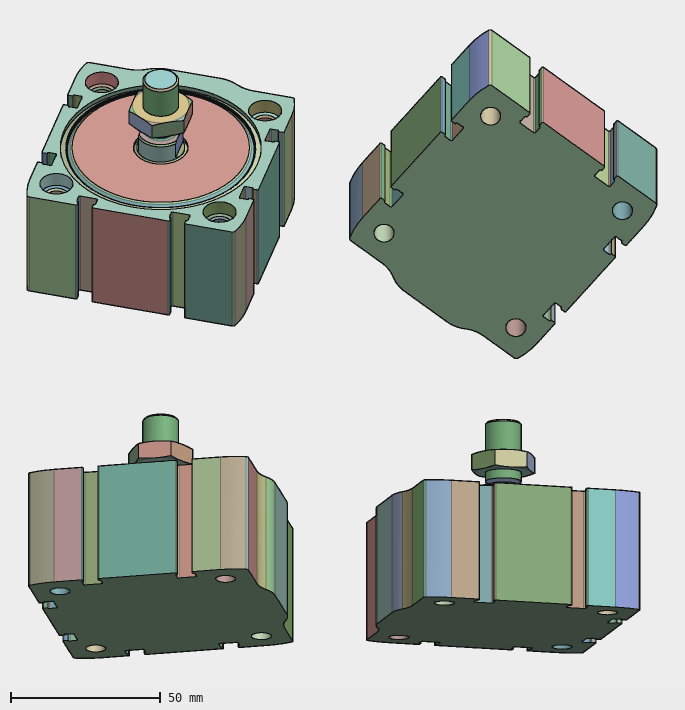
import cadquery as cq
import math

block_width = 75.0
block_height = 40.0
half_width = block_width / 2
bump_peak = 78.5 - half_width
bump_flat = 9.2
bump_radius = 12.0
side_flat = 28.4
side_radius = 25.0
corner_fillet = 1.0

slot_offset = 16.0
slot_depth = 5.0
slot_mouth = 5.2
slot_chamber = 6.5
slot_lip = 1.9
slot_fillet = 0.5
mouth_fillet = 0.4

mount_offset = 28.25
mount_diameter = 6.7
mount_countersink = 8.0
mount_counterbore = 11.0
counterbore_depth = 5.0

groove_radius = 67.0 / 2
groove_depth = 1.6
bore_radius = 63.0 / 2
ring_crest_radius = 31.7
ring_crest_depth = 0.55
ring_lip_depth = 0.8
cap_edge_radius = 29.6
cap_shoulder_radius = 30.2
cap_shoulder_depth = 0.4
cap_foot_radius = 31.2
cap_foot_depth = 1.2

rod_radius = 16.0 / 2
rod_socket_depth = 15.7
seal_radius = 18.1 / 2
seal_depth = 1.0
collar_top = 47.0
collar_chamfer = 0.55
flat_width = 12.95
flat_bottom = 40.6
run_out_angle = 30.0
neck_radius = 9.8 / 2
neck_fillet = 0.55
thread_radius = 12.0 / 2
thread_bottom = 48.9
rod_top = 69.0
tip_radius = 10.7 / 2

nut_width = 19.0
nut_bottom = 52.0
nut_height = 6.0
nut_chamfer_angle = 15.0


def block():
    """Extruded block with curved side ends and a raised back face."""
    end_rise = half_width - side_flat
    end_inset = side_radius - math.sqrt(side_radius**2 - end_rise**2)
    mid_angle = math.asin(end_rise / side_radius) / 2
    mid_x = half_width - side_radius * (1 - math.cos(mid_angle))
    mid_y = side_flat + side_radius * math.sin(mid_angle)
    corner_x = half_width - end_inset

    half_rise = (bump_peak - half_width) / 2
    half_run = math.sqrt(bump_radius**2 - (bump_radius - half_rise) ** 2)
    bend_x = bump_flat + half_run
    bend_y = half_width + half_rise
    foot_x = bump_flat + 2 * half_run

    outline = (
        cq.Workplane("XY")
        .moveTo(-corner_x, -half_width)
        .lineTo(corner_x, -half_width)
        .threePointArc((mid_x, -mid_y), (half_width, -side_flat))
        .lineTo(half_width, side_flat)
        .threePointArc((mid_x, mid_y), (corner_x, half_width))
        .lineTo(foot_x, half_width)
        .tangentArcPoint((bend_x, bend_y), relative=False)
        .tangentArcPoint((bump_flat, bump_peak), relative=False)
        .lineTo(-bump_flat, bump_peak)
        .tangentArcPoint((-bend_x, bend_y), relative=False)
        .tangentArcPoint((-foot_x, half_width), relative=False)
        .lineTo(-corner_x, half_width)
        .threePointArc((-mid_x, mid_y), (-half_width, side_flat))
        .lineTo(-half_width, -side_flat)
        .threePointArc((-mid_x, -mid_y), (-corner_x, -half_width))
        .close()
    )
    body = outline.extrude(block_height)
    for x in (-corner_x, corner_x):
        for y in (-half_width, half_width):
            corner = cq.selectors.NearestToPointSelector((x, y, block_height / 2))
            body = body.edges(corner).fillet(corner_fillet)
    return body


def t_slot(offset):
    """Cutter for one T-slot in the front (-Y) face, centred at X = offset."""
    face = -half_width
    mouth = (
        cq.Workplane("XY")
        .center(offset, face + slot_depth / 2)
        .rect(slot_mouth, slot_depth)
        .extrude(block_height)
    )
    chamber_depth = slot_depth - slot_lip
    chamber = (
        cq.Workplane("XY")
        .center(offset, face + slot_lip + chamber_depth / 2)
        .rect(slot_chamber, chamber_depth)
        .extrude(block_height)
        .edges("|Z")
        .fillet(slot_fillet)
    )
    half_mouth = slot_mouth / 2
    flare = half_mouth + mouth_fillet
    round_mid = mouth_fillet * (1 - math.sqrt(0.5))
    flared_edge = (
        cq.Workplane("XY")
        .moveTo(offset - flare, face)
        .threePointArc(
            (offset - half_mouth - round_mid, face + round_mid),
            (offset - half_mouth, face + mouth_fillet),
        )
        .lineTo(offset + half_mouth, face + mouth_fillet)
        .threePointArc(
            (offset + half_mouth + round_mid, face + round_mid),
            (offset + flare, face),
        )
        .close()
        .extrude(block_height)
    )
    return mouth.union(chamber).union(flared_edge)


def mounting_hole(x, y):
    """Cutter for a counterbored through hole with a countersunk floor."""
    floor = block_height - counterbore_depth
    hole_radius = mount_diameter / 2
    sink_radius = mount_countersink / 2
    bore = mount_counterbore / 2
    profile = [
        (0, 0),
        (hole_radius, 0),
        (hole_radius, floor - (sink_radius - hole_radius)),
        (sink_radius, floor),
        (bore, floor),
        (bore, block_height),
        (0, block_height),
    ]
    return revolve_profile(profile).translate((x, y, 0))


def revolve_profile(points):
    """Solid of revolution about Z from (radius, height) points."""
    return cq.Workplane("XZ").polyline(points).close().revolve(360, (0, 0), (0, 1))


def cap_groove():
    """Cutter for the stepped annular groove between the end cap and the block."""
    profile = [
        (cap_edge_radius, block_height),
        (cap_shoulder_radius, block_height - cap_shoulder_depth),
        (cap_foot_radius, block_height - cap_foot_depth),
        (bore_radius, block_height - cap_foot_depth),
        (bore_radius, block_height - ring_lip_depth),
        (ring_crest_radius, block_height - ring_crest_depth),
        (groove_radius, block_height - groove_depth),
        (groove_radius, block_height),
    ]
    return revolve_profile(profile)


def rod_socket():
    """Cutter for the blind rod hole and the sloping seal groove around it."""
    socket = (
        cq.Workplane("XY", origin=(0, 0, block_height - rod_socket_depth))
        .circle(rod_radius)
        .extrude(rod_socket_depth)
    )
    seal_groove = revolve_profile([
        (rod_radius, block_height),
        (seal_radius, block_height - seal_depth),
        (seal_radius, block_height),
    ])
    return socket.union(seal_groove)


def make_housing():
    body = block()
    for turn in (-90, 0, 90):
        for offset in (-slot_offset, slot_offset):
            body = body.cut(t_slot(offset).rotate((0, 0, 0), (0, 0, 1), turn))
    for x in (-mount_offset, mount_offset):
        for y in (-mount_offset, mount_offset):
            body = body.cut(mounting_hole(x, y))
    return body.cut(cap_groove()).cut(rod_socket())


def rod_shaft():
    """Turned rod: plain shank, undercut neck and threaded end."""
    bottom = block_height - rod_socket_depth
    fillet_mid = neck_fillet * (1 - math.sqrt(0.5))
    return (
        cq.Workplane("XZ")
        .moveTo(0, bottom)
        .lineTo(rod_radius, bottom)
        .lineTo(rod_radius, collar_top - collar_chamfer)
        .lineTo(rod_radius - collar_chamfer, collar_top)
        .lineTo(neck_radius + neck_fillet, collar_top)
        .threePointArc(
            (neck_radius + fillet_mid, collar_top + fillet_mid),
            (neck_radius, collar_top + neck_fillet),
        )
        .lineTo(neck_radius, thread_bottom - (thread_radius - neck_radius))
        .lineTo(thread_radius, thread_bottom)
        .lineTo(thread_radius, rod_top - (thread_radius - tip_radius))
        .lineTo(tip_radius, rod_top)
        .lineTo(0, rod_top)
        .close()
        .revolve(360, (0, 0), (0, 1))
    )


def wrench_flat(side):
    """Cutter for one wrench flat with a sloping run-out; side is -1 or 1."""
    flat = flat_width / 2
    run_out = (rod_radius - flat) * math.tan(math.radians(run_out_angle))
    return (
        cq.Workplane("XZ")
        .polyline([
            (side * flat, collar_top),
            (side * flat, flat_bottom),
            (side * rod_radius, flat_bottom - run_out),
            (side * rod_radius, collar_top),
        ])
        .close()
        .extrude(rod_radius, both=True)
    )


def make_rod():
    rod = rod_shaft()
    for side in (-1, 1):
        rod = rod.cut(wrench_flat(side))
    return rod


def make_nut():
    """Hex nut with corners on the Y axis, chamfered on both ends."""
    corner_radius = nut_width / math.sqrt(3)
    flat_radius = nut_width / 2
    corner_drop = (corner_radius - flat_radius) * math.tan(math.radians(nut_chamfer_angle))
    nut_top = nut_bottom + nut_height
    hexagon = (
        cq.Workplane("XY", origin=(0, 0, nut_bottom))
        .polygon(6, 2 * corner_radius)
        .extrude(nut_height)
        .rotate((0, 0, 0), (0, 0, 1), 90)
    )
    chamfer_envelope = revolve_profile([
        (thread_radius, nut_bottom),
        (flat_radius, nut_bottom),
        (corner_radius, nut_bottom + corner_drop),
        (corner_radius, nut_top - corner_drop),
        (flat_radius, nut_top),
        (thread_radius, nut_top),
    ])
    return hexagon.intersect(chamfer_envelope)


housing = make_housing()
rod = make_rod()
nut = make_nut()

result = cq.Compound.makeCompound([housing.val(), rod.val(), nut.val()])